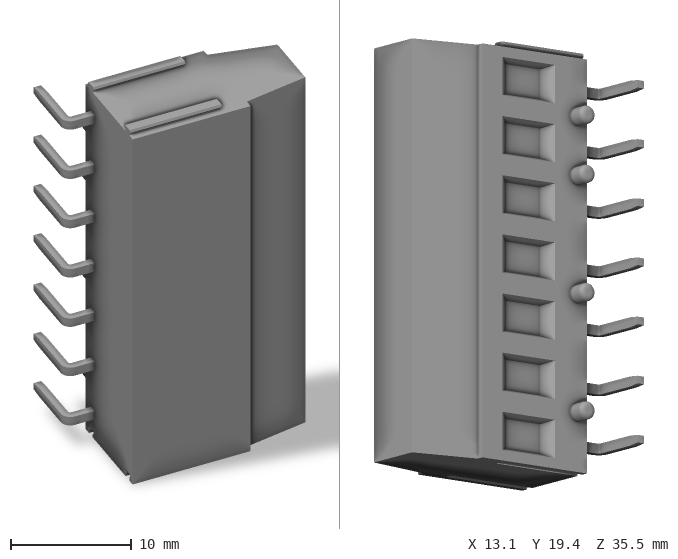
import cadquery as cq


POLE_COUNT = 7
TOTAL_HEIGHT = 35.55
HOUSING_WIDTH = 8.82
HOUSING_DEPTH = 16.75
HOUSING_HEIGHT = 35.0
PITCH = HOUSING_HEIGHT / POLE_COUNT
SHOULDER_Y = 10.88
NOSE_BASE_LEFT = 0.65
NOSE_BASE_RIGHT = 8.1
NOSE_TIP_LEFT = 1.9
NOSE_TIP_RIGHT = 7.1

POCKET_CENTER_Y = 6.05
POCKET_LENGTH = 5.45
POCKET_WIDTH = 3.25
POCKET_FLOOR_LENGTH = 3.6
POCKET_FLOOR_WIDTH = 2.52
POCKET_DEPTH = 0.82

RIB_CENTERS_X = (0.95, 7.82)
RIB_LENGTH = 8.45
RIB_HEIGHT = TOTAL_HEIGHT - HOUSING_HEIGHT
RIB_NECK_WIDTH = 0.7
RIB_HEAD_WIDTH = 1.05
RIB_TOP_WIDTH = 0.85
RIB_NECK_HEIGHT = 0.15
RIB_WIDEST_HEIGHT = 0.35
SLOT_CLEARANCE = 0.15

PEG_JOINTS = (1, 3, 5, 6)
PEG_DIAMETER = 1.53
PEG_LENGTH = 1.67
PEG_ROUNDING = 0.43
PEG_Y = 1.03

PIN_REACH = 4.25
PIN_DROP = 2.7
PIN_OUTER_X = 1.67
PIN_THICKNESS = 0.68
PIN_WIDTH = 0.85
PIN_BEND_RADIUS = 0.9
PIN_ROOT = 0.35
PIN_TIP_LENGTH = 1.03
PIN_TIP_WIDTH = 0.65


def make_housing():
    outline = [
        (0, 0),
        (HOUSING_WIDTH, 0),
        (HOUSING_WIDTH, SHOULDER_Y),
        (NOSE_BASE_RIGHT, SHOULDER_Y),
        (NOSE_TIP_RIGHT, HOUSING_DEPTH),
        (NOSE_TIP_LEFT, HOUSING_DEPTH),
        (NOSE_BASE_LEFT, SHOULDER_Y),
        (0, SHOULDER_Y),
    ]
    return cq.Workplane("XY").polyline(outline).close().extrude(HOUSING_HEIGHT)


def make_pocket(center_z):
    """Tapered recess, wide at the -X face and narrow at its floor."""
    return (
        cq.Workplane("YZ", origin=(0, POCKET_CENTER_Y, center_z))
        .rect(POCKET_LENGTH, POCKET_WIDTH)
        .workplane(offset=POCKET_DEPTH)
        .rect(POCKET_FLOOR_LENGTH, POCKET_FLOOR_WIDTH)
        .loft(ruled=True)
    )


def make_dovetail(center_x, base_z, lift=0.0):
    """Bar along Y with a narrow neck and a hexagonal head; lift lengthens the neck."""
    half_section = [
        (RIB_NECK_WIDTH / 2, 0),
        (RIB_NECK_WIDTH / 2, RIB_NECK_HEIGHT + lift),
        (RIB_HEAD_WIDTH / 2, RIB_WIDEST_HEIGHT + lift),
        (RIB_TOP_WIDTH / 2, RIB_HEIGHT + lift),
    ]
    mirrored_half = [(-x, z) for x, z in reversed(half_section)]
    return (
        cq.Workplane("XZ", origin=(center_x, 0, base_z))
        .polyline(half_section + mirrored_half)
        .close()
        .extrude(-RIB_LENGTH)
    )


def make_peg(center_z):
    return (
        cq.Workplane("YZ", origin=(0, PEG_Y, center_z))
        .circle(PEG_DIAMETER / 2)
        .extrude(-PEG_LENGTH)
        .faces("<X")
        .edges()
        .fillet(PEG_ROUNDING)
    )


def make_pin(center_z):
    """L-shaped pin leaving the -Y face and bending towards -X, with a bevelled tip."""
    inner_x = PIN_OUTER_X - PIN_THICKNESS
    inner_y = PIN_THICKNESS - PIN_DROP
    profile = [
        (-PIN_REACH, -PIN_DROP),
        (PIN_OUTER_X, -PIN_DROP),
        (PIN_OUTER_X, PIN_ROOT),
        (inner_x, PIN_ROOT),
        (inner_x, inner_y),
        (-PIN_REACH, inner_y),
    ]
    pin = (
        cq.Workplane("XY", origin=(0, 0, center_z - PIN_WIDTH / 2))
        .polyline(profile)
        .close()
        .extrude(PIN_WIDTH)
    )
    inner_bend = cq.selectors.NearestToPointSelector((inner_x, inner_y, center_z))
    outer_bend = cq.selectors.NearestToPointSelector((PIN_OUTER_X, -PIN_DROP, center_z))
    pin = pin.edges(inner_bend).fillet(PIN_BEND_RADIUS - PIN_THICKNESS)
    pin = pin.edges(outer_bend).fillet(PIN_BEND_RADIUS)

    half_width = PIN_WIDTH / 2
    half_tip = PIN_TIP_WIDTH / 2
    taper_start = PIN_TIP_LENGTH - PIN_REACH
    tapered_outline = [
        (-PIN_REACH, -half_tip),
        (taper_start, -half_width),
        (PIN_OUTER_X, -half_width),
        (PIN_OUTER_X, half_width),
        (taper_start, half_width),
        (-PIN_REACH, half_tip),
    ]
    tapered_bar = (
        cq.Workplane("XZ", origin=(0, PIN_ROOT, center_z))
        .polyline(tapered_outline)
        .close()
        .extrude(PIN_ROOT + PIN_DROP)
    )
    return pin.intersect(tapered_bar)


result = make_housing()

for pole in range(POLE_COUNT):
    pole_z = (pole + 0.5) * PITCH
    result = result.cut(make_pocket(pole_z)).union(make_pin(pole_z))

for joint in PEG_JOINTS:
    result = result.union(make_peg(joint * PITCH))

for rib_x in RIB_CENTERS_X:
    result = result.union(make_dovetail(rib_x, HOUSING_HEIGHT))
    result = result.cut(make_dovetail(rib_x, 0, SLOT_CLEARANCE))